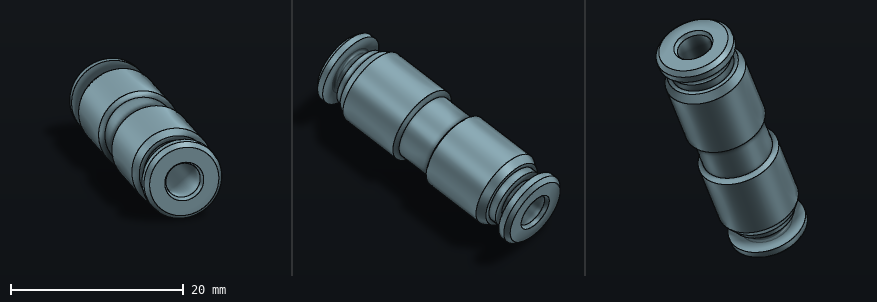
import cadquery as cq
import math

length = 31.0
half_length = length / 2

collar_radius = 4.7
collar_width = 1.35
collar_chamfer = 0.53
neck_radius = 2.73
neck_fillet = 0.37

ring_radius = 3.78
ring_end = 12.75
body_radius = 4.9
body_end = 11.72
body_chamfer_length = 1.02
body_chamfer_depth = 0.6
waist_radius = 4.25
waist_half_length = 2.3
waist_chamfer_length = 0.37

mouth_radius = 2.35
bore_radius = 2.08
mouth_half_angle = 30.0
throat_radius = 1.5
throat_half_length = waist_half_length
seat_half_angle = 60.0


def cone_length(large_radius, small_radius, half_angle):
    """Axial length of a cone between two radii, with its half angle in degrees."""
    return (large_radius - small_radius) / math.tan(math.radians(half_angle))


def outer_points():
    """Corners (x, radius) of the outside of the +X half, from the waist out to the end face."""
    return [
        (waist_half_length, waist_radius),
        (waist_half_length + waist_chamfer_length, body_radius),
        (body_end - body_chamfer_length, body_radius),
        (body_end, body_radius - body_chamfer_depth),
        (body_end, ring_radius),
        (ring_end, ring_radius),
        (ring_end, neck_radius),
        (half_length - collar_width, neck_radius),
        (half_length - collar_width, collar_radius),
        (half_length - collar_chamfer, collar_radius),
        (half_length, collar_radius - collar_chamfer),
    ]


def passage_points():
    """Corners (x, radius) of the passage in the +X half, from the throat out to the mouth."""
    seat_cone_length = cone_length(bore_radius, throat_radius, seat_half_angle)
    mouth_chamfer_length = cone_length(mouth_radius, bore_radius, mouth_half_angle)
    return [
        (throat_half_length, throat_radius),
        (throat_half_length + seat_cone_length, bore_radius),
        (half_length - mouth_chamfer_length, bore_radius),
        (half_length, mouth_radius),
    ]


def revolve_symmetric(half_points):
    """Mirror the half outline to -X, close it along the axis and revolve it about X."""
    mirrored = [(-x, radius) for x, radius in reversed(half_points)]
    outline = [(-half_length, 0)] + mirrored + half_points + [(half_length, 0)]
    return cq.Workplane("XY").polyline(outline).close().revolve(360, (0, 0, 0), (1, 0, 0))


def fillet_neck(union, side):
    """Round the inside corner between neck and collar at the +X (side 1) or -X (side -1) end."""
    corner_x = side * (half_length - collar_width)
    tolerance = 0.03
    corner_box = cq.selectors.BoxSelector(
        (corner_x - tolerance, -neck_radius - tolerance, -neck_radius - tolerance),
        (corner_x + tolerance, neck_radius + tolerance, neck_radius + tolerance),
        boundingbox=True,
    )
    return union.edges(corner_box).fillet(neck_fillet)


result = revolve_symmetric(outer_points())
for end in (1, -1):
    result = fillet_neck(result, end)
result = result.cut(revolve_symmetric(passage_points()))